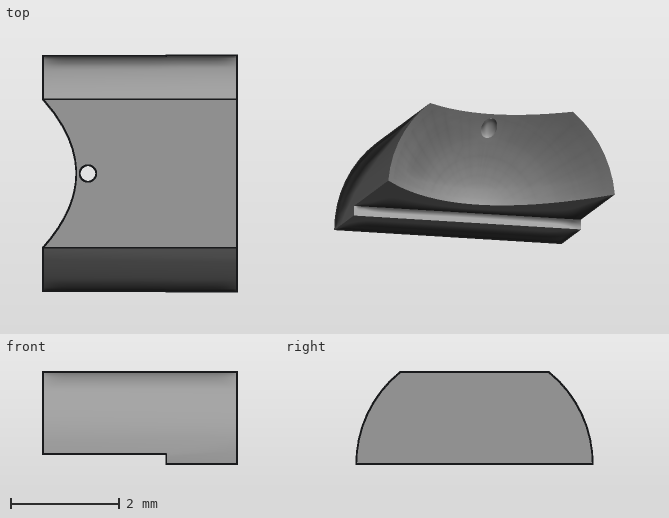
import cadquery as cq

length = 3.59
radius = 2.185
height = 1.7
bowl_depth = 1.56
step_length = 2.275
step_height = 0.185
hole_diameter = 0.3
hole_offset = 0.835


def make_body():
    """Half-round bar with its crown cut off flat."""
    half_round = (
        cq.Workplane("YZ")
        .moveTo(-radius, 0)
        .threePointArc((0, radius), (radius, 0))
        .close()
        .extrude(length)
    )
    envelope = cq.Workplane("XY").box(length, 2 * radius, height, centered=(False, True, False))
    return half_round.intersect(envelope)


def make_bowl():
    """Paraboloid about the X axis whose rim is the outline of the -X end."""
    tangent_corner = (bowl_depth, radius / 2)
    return (
        cq.Workplane("XY")
        .moveTo(0, radius)
        .bezier([(0, radius), tangent_corner, (bowl_depth, 0)])
        .lineTo(0, 0)
        .close()
        .revolve(360, (0, 0, 0), (1, 0, 0))
    )


def make_step():
    """Block removed from the underside at the -X end."""
    return cq.Workplane("XY").box(step_length, 2 * radius, step_height, centered=(False, True, False))


def make_hole():
    """Vertical hole that breaks from the flat top into the bowl."""
    return cq.Workplane("XY").center(hole_offset, 0).circle(hole_diameter / 2).extrude(height)


result = make_body().cut(make_step()).cut(make_bowl()).cut(make_hole())